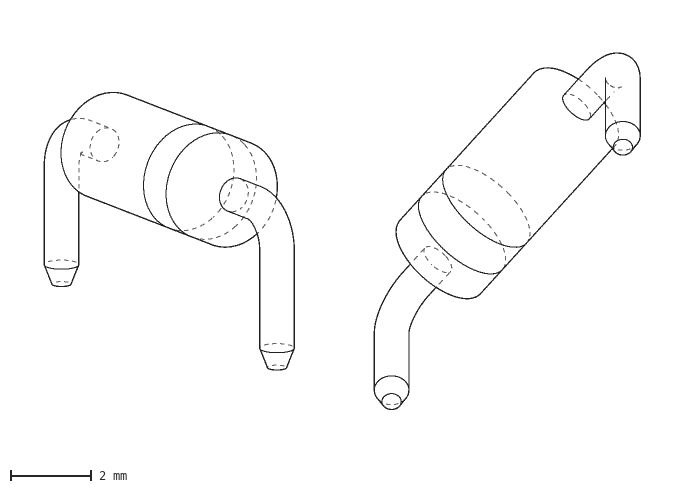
import cadquery as cq

body_length = 5.71
body_diameter = 2.7
edge_round = 0.1
band_width = 1.0
end_width = 1.0

lead_span = 10.38
lead_diameter = 0.86
bend_radius = 0.99
lead_depth = 4.0
taper_length = 0.5
tip_diameter = 0.48

body_end = body_length / 2
band_end = body_end - end_width
band_start = band_end - band_width
lead_x = (lead_span - lead_diameter) / 2


def body_section(x_start, x_end):
    """Cylinder along X between two stations."""
    plane = cq.Workplane("YZ", origin=(x_start, 0, 0))
    return plane.circle(body_diameter / 2).extrude(x_end - x_start)


def make_main_section():
    """Long part of the body, with its outer end rounded."""
    return body_section(-body_end, band_start).faces("<X").edges().fillet(edge_round)


def make_band():
    """Plain marking band between the two end parts of the body."""
    return body_section(band_start, band_end)


def make_end_section():
    """Short part of the body, with its outer end rounded."""
    return body_section(band_end, body_end).faces(">X").edges().fillet(edge_round)


def make_lead(side):
    """Lead that leaves the body end, bends down and tapers; side is -1 or +1 along X."""
    bend_start_x = side * (lead_x - bend_radius)
    horizontal = (
        cq.Workplane("YZ", origin=(side * body_end, 0, 0))
        .circle(lead_diameter / 2)
        .extrude(bend_start_x - side * body_end)
    )
    bend = (
        cq.Workplane("YZ", origin=(bend_start_x, 0, 0))
        .circle(lead_diameter / 2)
        .revolve(90, (0, -bend_radius, 0), (side, -bend_radius, 0))
    )
    vertical = (
        cq.Workplane("XY", origin=(side * lead_x, 0, -bend_radius))
        .circle(lead_diameter / 2)
        .extrude(-(lead_depth - taper_length - bend_radius))
    )
    taper = (
        cq.Workplane("XY", origin=(side * lead_x, 0, -lead_depth))
        .circle(tip_diameter / 2)
        .workplane(offset=taper_length)
        .circle(lead_diameter / 2)
        .loft()
    )
    return horizontal.union(bend).union(vertical).union(taper)


main_section = make_main_section()
band = make_band()
end_section = make_end_section()
leads = [make_lead(side) for side in (-1, 1)]

result = cq.Compound.makeCompound(
    [main_section.val(), band.val(), end_section.val(), *[lead.val() for lead in leads]]
)